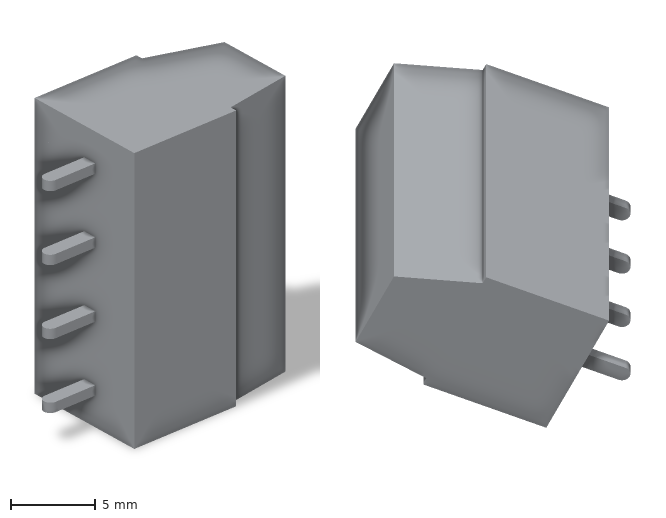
import cadquery as cq

base_width = 9.0
base_depth = 8.0
taper_depth = 5.0
housing_height = 20.0
shoulder_width = 0.5
crest_left_inset = 2.2
crest_right_inset = 1.3

pin_count = 4
pin_pitch = 5.0
pin_width = 1.0
pin_thickness = 0.7
pin_length = 3.6
pin_center_x = 0.48

left_x = -base_width / 2
right_x = base_width / 2
crest_y = base_depth + taper_depth
pin_levels = [(i - (pin_count - 1) / 2) * pin_pitch for i in range(pin_count)]
lower_joint_z = pin_levels[0]
upper_joint_z = pin_levels[-1]


def housing_slice(bottom_z, top_z):
    """Length of the housing profile between two Z levels."""
    return (
        cq.Workplane("XY", origin=(0, 0, bottom_z))
        .moveTo(left_x, 0)
        .lineTo(right_x, 0)
        .lineTo(right_x, base_depth)
        .lineTo(right_x - shoulder_width, base_depth)
        .lineTo(right_x - crest_right_inset, crest_y)
        .lineTo(left_x + crest_left_inset, crest_y)
        .lineTo(left_x + shoulder_width, base_depth)
        .lineTo(left_x, base_depth)
        .close()
        .extrude(top_z - bottom_z)
    )


def pin_slice(bottom_z, top_z):
    """Flat pin with a full-round tip, between two Z levels."""
    tip_radius = pin_width / 2
    return (
        cq.Workplane("XY", origin=(pin_center_x, 0, bottom_z))
        .moveTo(-tip_radius, 0)
        .lineTo(-tip_radius, tip_radius - pin_length)
        .threePointArc((0, -pin_length), (tip_radius, tip_radius - pin_length))
        .lineTo(tip_radius, 0)
        .close()
        .extrude(top_z - bottom_z)
    )


def terminal_section(bottom_z, top_z):
    """Housing section with its pins; a pin on a joint is shared by both neighbours."""
    section = housing_slice(bottom_z, top_z)
    for level in pin_levels:
        pin_bottom = max(level - pin_thickness / 2, bottom_z)
        pin_top = min(level + pin_thickness / 2, top_z)
        if pin_top > pin_bottom:
            section = section.union(pin_slice(pin_bottom, pin_top))
    return section


lower_end = terminal_section(-housing_height / 2, lower_joint_z)
middle = terminal_section(lower_joint_z, upper_joint_z)
upper_end = terminal_section(upper_joint_z, housing_height / 2)

result = cq.Compound.makeCompound([lower_end.val(), middle.val(), upper_end.val()])